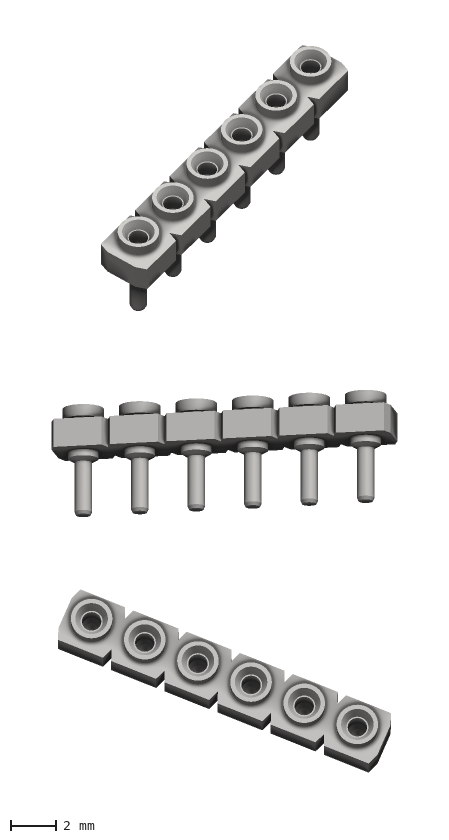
import cadquery as cq

PIN_COUNT = 6
STRIP_LENGTH = 15.24
PITCH = STRIP_LENGTH / PIN_COUNT
STRIP_WIDTH = PITCH
STRIP_HEIGHT = 1.28
END_FACE_WIDTH = 1.52
CORNER_CUT_Y = 0.2

HEAD_DIAMETER = 1.83
BODY_DIAMETER = 1.35
SHANK_DIAMETER = 0.78
TIP_DIAMETER = 0.64

HEAD_THICKNESS = 0.52
HEAD_GAP = 0.18
COLLAR_LENGTH = 0.29
SHOULDER_LENGTH = 0.17
SHANK_LENGTH = 2.24
TIP_CHAMFER_LENGTH = 0.15

FUNNEL_TOP_DIAMETER = 1.43
FUNNEL_BOTTOM_DIAMETER = 0.98
FUNNEL_DEPTH = 0.4
BORE_DIAMETER = 0.85
BORE_DEPTH = 0.76
TAPER_BOTTOM_DIAMETER = 0.52
TAPER_DEPTH = 0.26
POINT_DEPTH = 0.29

HEAD_UNDERSIDE_Z = STRIP_HEIGHT + HEAD_GAP
HEAD_TOP_Z = HEAD_UNDERSIDE_Z + HEAD_THICKNESS
COLLAR_BOTTOM_Z = -COLLAR_LENGTH
SHANK_TOP_Z = COLLAR_BOTTOM_Z - SHOULDER_LENGTH
SHANK_BOTTOM_Z = SHANK_TOP_Z - SHANK_LENGTH
PIN_BOTTOM_Z = SHANK_BOTTOM_Z - TIP_CHAMFER_LENGTH
FUNNEL_BOTTOM_Z = HEAD_TOP_Z - FUNNEL_DEPTH
BORE_BOTTOM_Z = FUNNEL_BOTTOM_Z - BORE_DEPTH
TAPER_BOTTOM_Z = BORE_BOTTOM_Z - TAPER_DEPTH
POINT_Z = TAPER_BOTTOM_Z - POINT_DEPTH

PIN_POSITIONS = [(0, (i - (PIN_COUNT - 1) / 2) * PITCH) for i in range(PIN_COUNT)]


def make_strip():
    """Row of cells with cut corners, with a through hole for each pin."""
    side_x = STRIP_WIDTH / 2
    end_x = END_FACE_WIDTH / 2
    right_edge = []
    for _, center_y in PIN_POSITIONS:
        cell_start = center_y - PITCH / 2
        cell_end = center_y + PITCH / 2
        right_edge.append((end_x, cell_start))
        right_edge.append((side_x, cell_start + CORNER_CUT_Y))
        right_edge.append((side_x, cell_end - CORNER_CUT_Y))
    right_edge.append((end_x, STRIP_LENGTH / 2))
    left_edge = [(-x, y) for x, y in reversed(right_edge)]

    strip = cq.Workplane("XY").polyline(right_edge + left_edge).close().extrude(STRIP_HEIGHT)
    holes = cq.Workplane("XY").pushPoints(PIN_POSITIONS).circle(BODY_DIAMETER / 2).extrude(STRIP_HEIGHT)
    return strip.cut(holes)


def make_pin():
    """Turned socket pin on the Z axis, revolved from its half section."""
    half_section = [
        (0, PIN_BOTTOM_Z),
        (TIP_DIAMETER / 2, PIN_BOTTOM_Z),
        (SHANK_DIAMETER / 2, SHANK_BOTTOM_Z),
        (SHANK_DIAMETER / 2, SHANK_TOP_Z),
        (BODY_DIAMETER / 2, COLLAR_BOTTOM_Z),
        (BODY_DIAMETER / 2, HEAD_UNDERSIDE_Z),
        (HEAD_DIAMETER / 2, HEAD_UNDERSIDE_Z),
        (HEAD_DIAMETER / 2, HEAD_TOP_Z),
        (FUNNEL_TOP_DIAMETER / 2, HEAD_TOP_Z),
        (FUNNEL_BOTTOM_DIAMETER / 2, FUNNEL_BOTTOM_Z),
        (BORE_DIAMETER / 2, FUNNEL_BOTTOM_Z),
        (BORE_DIAMETER / 2, BORE_BOTTOM_Z),
        (TAPER_BOTTOM_DIAMETER / 2, TAPER_BOTTOM_Z),
        (0, POINT_Z),
    ]
    return cq.Workplane("YZ").polyline(half_section).close().revolve(360, (0, 0), (0, 1))


strip = make_strip()
pin = make_pin()
pins = [pin.translate((x, y, 0)) for x, y in PIN_POSITIONS]

result = cq.Compound.makeCompound([strip.val(), *[placed_pin.val() for placed_pin in pins]])